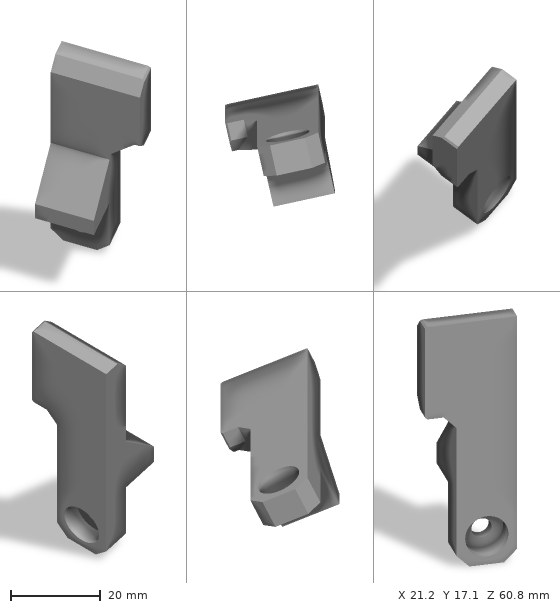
import cadquery as cq

height = 60.8
head_width = 21.2
strip_width = 14.0
thickness = 7.0
bevel = 3.0
corner_break = 0.5
head_bottom = 37.8
gusset_start = 34.85

ledge_reach = 10.05
ledge_bottom = 18.0
ledge_lip = 5.0

hole_diameter = 4.6
counterbore_diameter = 10.0
counterbore_depth = 4.5
hole_x = strip_width / 2
hole_z = 7.0



def extrude_along_x(points, length):
    """Extrude a (y, z) outline from x = 0 toward +X."""
    return cq.Workplane("YZ").polyline(points).close().extrude(length)


def extrude_to_back(points):
    """Extrude an (x, z) outline through the plate thickness."""
    return cq.Workplane("XZ").polyline(points).close().extrude(-thickness)


def make_head():
    """Head block bevelled along its front edges, with its outer corners broken."""
    profile = extrude_along_x(
        [
            (0, head_bottom + bevel),
            (bevel, head_bottom),
            (thickness, head_bottom),
            (thickness, height),
            (bevel, height),
            (0, height - bevel),
        ],
        head_width,
    )
    outline = extrude_to_back(
        [
            (0, head_bottom),
            (head_width - corner_break, head_bottom),
            (head_width, head_bottom + corner_break),
            (head_width, height - corner_break),
            (head_width - corner_break, height),
            (0, height),
        ]
    )
    return profile.intersect(outline)


def make_strip():
    """Strip with a bevelled foot and the gusset that carries the head."""
    gusset_top = head_bottom + bevel
    gusset_reach = gusset_top - gusset_start
    return extrude_to_back(
        [
            (bevel, 0),
            (strip_width - bevel, 0),
            (strip_width, bevel),
            (strip_width, gusset_start),
            (strip_width + gusset_reach, gusset_top),
            (0, gusset_top),
            (0, bevel),
        ]
    )


def make_ledge():
    """Ledge with a flat underside and a 45 degree sloped top."""
    lip_top = ledge_bottom + ledge_lip
    return extrude_along_x(
        [
            (0, ledge_bottom),
            (-ledge_reach, ledge_bottom),
            (-ledge_reach, lip_top),
            (0, lip_top + ledge_reach),
        ],
        strip_width,
    )


def make_screw_hole():
    """Through hole together with its counterbore, as one cutting body."""
    front = cq.Workplane("XZ").center(hole_x, hole_z)
    back = cq.Workplane("XZ", origin=(0, thickness, 0)).center(hole_x, hole_z)
    hole = front.circle(hole_diameter / 2).extrude(-thickness)
    counterbore = back.circle(counterbore_diameter / 2).extrude(counterbore_depth)
    return hole.union(counterbore)


result = make_strip().union(make_head()).union(make_ledge()).cut(make_screw_hole())